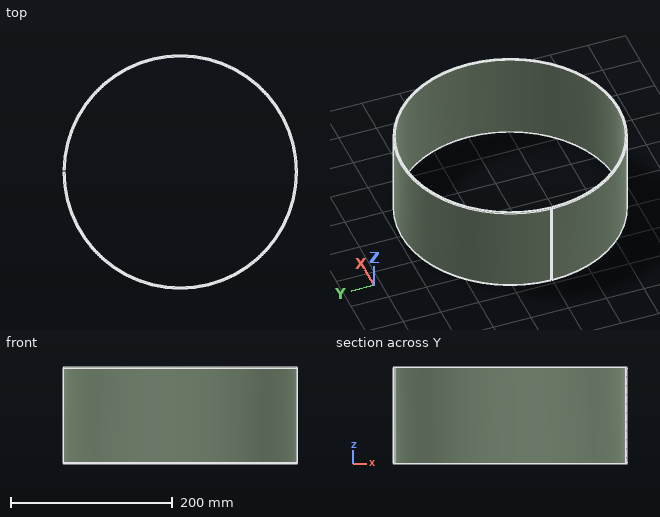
import cadquery as cq

outer_diameter = 290.0
height = 120.0
wall = 2.5
outer_chamfer_height = 1.7
inner_chamfer_height = 1.0
rim_chamfer_depth = 0.5
slit_width = 2.3

outer_radius = outer_diameter / 2
inner_radius = outer_radius - wall


def make_ring():
    """Thin cylindrical band chamfered on its outer and inner rim edges."""
    rim_outer_radius = outer_radius - rim_chamfer_depth
    rim_inner_radius = inner_radius + rim_chamfer_depth
    profile = (
        cq.Workplane("XZ")
        .moveTo(rim_inner_radius, 0)
        .lineTo(rim_outer_radius, 0)
        .lineTo(outer_radius, outer_chamfer_height)
        .lineTo(outer_radius, height - outer_chamfer_height)
        .lineTo(rim_outer_radius, height)
        .lineTo(rim_inner_radius, height)
        .lineTo(inner_radius, height - inner_chamfer_height)
        .lineTo(inner_radius, inner_chamfer_height)
        .close()
    )
    return profile.revolve(360, (0, 0, 0), (0, 1, 0))


def make_slit():
    """Full-height cutter through the -X wall, with one side on the XZ plane."""
    slit_depth = 2 * wall
    return cq.Workplane("XY").box(slit_depth, slit_width, height, centered=False).translate(
        (-outer_radius, 0, 0)
    )


result = make_ring().cut(make_slit())